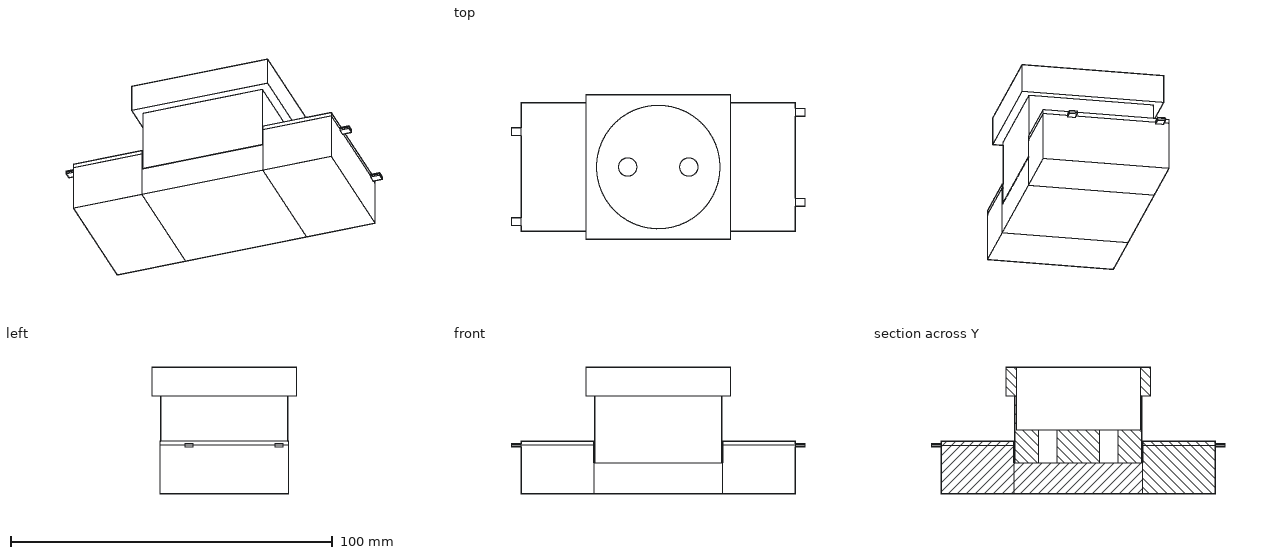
import cadquery as cq

total_height = 39.35
tab_length = 3.0
total_length = 91.3
body_length = total_length - 2 * tab_length

base_side = 40.0
base_height = 9.6

socket_height = total_height - base_height
tower_side = 39.5
flange_side = 45.0
flange_height = 9.0
recess_diameter = 38.4
recess_depth = 19.5
contact_hole_diameter = 5.7
contact_hole_spacing = 19.0

box_length = (body_length - base_side) / 2
box_width = base_side
box_height = 15.1
lid_thickness = 1.3
box_center = (-(base_side + box_length) / 2, 0, 0)

tab_width = 2.5
tab_thickness = 0.5
tab_spacing = 28.0
tab_row_offset = 3.0


def block(length, width, height, bottom):
    """Rectangular block centred on the Z axis with its underside at the given height."""
    return (
        cq.Workplane("XY")
        .workplane(offset=bottom)
        .rect(length, width)
        .extrude(height)
    )


def make_base():
    """Plain square block that carries the socket."""
    return block(base_side, base_side, base_height, 0)


def make_socket():
    """Flanged tower with a round recess and two contact holes through the recess floor."""
    tower = block(tower_side, tower_side, socket_height - flange_height, base_height)
    flange = block(flange_side, flange_side, flange_height, total_height - flange_height)
    recess = (
        cq.Workplane("XY")
        .workplane(offset=total_height)
        .circle(recess_diameter / 2)
        .extrude(-recess_depth)
    )
    half_spacing = contact_hole_spacing / 2
    contact_holes = (
        cq.Workplane("XY")
        .workplane(offset=base_height)
        .pushPoints([(-half_spacing, 0), (half_spacing, 0)])
        .circle(contact_hole_diameter / 2)
        .extrude(socket_height - recess_depth)
    )
    return tower.union(flange).cut(recess).cut(contact_holes)


def add_tabs(plate, tab_bottom):
    """Join the two end tabs to a box or lid at the -X end."""
    reach = box_length / 2 + tab_length
    center_x = -body_length / 2 - tab_length + reach / 2
    for side in (-1, 1):
        center_y = side * tab_spacing / 2 - tab_row_offset
        tab = block(reach, tab_width, tab_thickness, tab_bottom)
        plate = plate.union(tab.translate((center_x, center_y, 0)))
    return plate


def place_at_end(body, turn):
    """Turn a body made at the -X end about the Z axis."""
    return body.rotate((0, 0, 0), (0, 0, 1), turn)


def make_side_box(turn):
    """Solid side box with the lower half of each tab pair flush with its top."""
    box = block(box_length, box_width, box_height, 0).translate(box_center)
    return place_at_end(add_tabs(box, box_height - tab_thickness), turn)


def make_lid(turn):
    """Flat lid with the upper half of each tab pair flush with its underside."""
    lid = block(box_length, box_width, lid_thickness, box_height).translate(box_center)
    return place_at_end(add_tabs(lid, box_height), turn)


base = make_base()
socket = make_socket()
end_turns = (0, 180)
side_boxes = [make_side_box(turn) for turn in end_turns]
lids = [make_lid(turn) for turn in end_turns]

result = cq.Compound.makeCompound(
    [base.val(), socket.val()]
    + [box.val() for box in side_boxes]
    + [lid.val() for lid in lids]
)